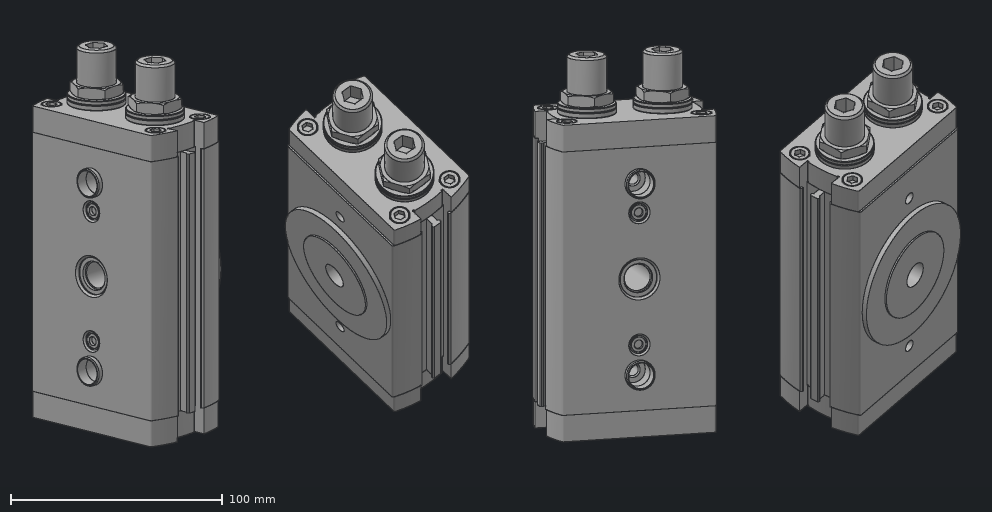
import cadquery as cq
import math

OVERALL_LENGTH = 181.6
HALF_WIDTH = 42.3
HALF_DEPTH = 24.2
FLANK_RADIUS = 70.0
CORNER_ROUND = 1.0
PROFILE_HALF_LENGTH = 63.7
CAP_THICKNESS = 12.9
CAP_SIDE_INSET = 0.2
CAP_FRONT_INSET = 0.09
CAP_REAR_INSET = 0.9
CAP_END = PROFILE_HALF_LENGTH + CAP_THICKNESS

GROOVE_FLOOR_X = 36.5
GROOVE_HALF_HEIGHT = 9.5
LIP_HALF_GAP = 8.2
LIP_THICKNESS = 1.6
LIP_BEVEL = 0.9
RAIL_FACE_X = 42.5
RAIL_HEAD_HALF = 2.5
RAIL_STEM_HALF = 1.6
RAIL_HEAD_THICKNESS = 1.3
RAIL_TAPER = 0.9
RAIL_BEVEL = 0.5
CAP_RELIEF_HALF = 8.5
CAP_RELIEF_DEPTH = 0.7

SCREW_X = 33.2
SCREW_Y = 15.6
SCREW_RECESS_RADIUS = 4.9
SCREW_HEAD_RADIUS = 4.4
SCREW_SOCKET_FLATS = 4.7
SCREW_SOCKET_DEPTH = 2.7
SCREW_GAP_DEPTH = 1.8

STOP_X = 18.7
STOP_TOP = OVERALL_LENGTH - CAP_END
WASHER_RADIUS = 14.0
WASHER_BEVEL = 0.4
SPACER_TOP = CAP_END + 2.7
WASHER_TOP = CAP_END + 4.9
NUT_TOP = CAP_END + 10.4
NUT_FLATS = 22.5
NUT_BEVEL = 1.5
ROD_RADIUS = 9.5
ROD_BEVEL = 1.0
ROD_SOCKET_FLATS = 9.0
ROD_SOCKET_DEPTH = 9.0

SLEEVE_Z = 46.3
SLEEVE_RADIUS = 7.0
SLEEVE_BORE_RADIUS = 6.2
SLEEVE_STAND_OUT = 2.9
SLEEVE_SEAT_DEPTH = 3.0
SLEEVE_BEVEL = 0.5
FIXING_BORE_DEPTH = 10.9
FIXING_HOLE_RADIUS = 2.9
FIXING_BEVEL = 0.7

PLUG_Z = 32.0
PLUG_RECESS_RADIUS = 4.4
PLUG_BEVEL = 0.9
PLUG_RECESS_DEPTH = 1.5
PLUG_RADIUS = 3.6
PLUG_HOLE_RADIUS = 2.2
PLUG_HOLE_DEPTH = 2.7

FLANGE_RADIUS = 36.7
FLANGE_FACE_Y = 26.7
BOSS_RADIUS = 22.3
BOSS_FACE_Y = 27.6
SHAFT_RADIUS = 9.0
SHAFT_MOUTH_BEVEL = 1.0
SHAFT_RECESS_DEPTH = 1.8
SHAFT_BORE_RADIUS = 6.4
SHAFT_COUNTERBORE_RADIUS = 7.0
SHAFT_COUNTERBORE_DEPTH = 1.8


def flank_x(crest_x, y):
    """X at height y of a curve shaped like the flanks whose crest is at crest_x."""
    return crest_x - FLANK_RADIUS + math.sqrt(FLANK_RADIUS**2 - y**2)


def bulged_prism(half_width, front_y, rear_y, z_start, length):
    """Prism with flat -Y and +Y faces, bulged flanks and rounded corners."""
    front_x = flank_x(half_width, front_y)
    rear_x = flank_x(half_width, rear_y)
    return (
        cq.Workplane("XY", origin=(0, 0, z_start))
        .moveTo(-front_x, front_y)
        .lineTo(front_x, front_y)
        .threePointArc((half_width, 0), (rear_x, rear_y))
        .lineTo(-rear_x, rear_y)
        .threePointArc((-half_width, 0), (-front_x, front_y))
        .close()
        .extrude(length)
        .edges("|Z")
        .fillet(CORNER_ROUND)
    )


def cylinder_y(radius, y_start, y_end, z=0):
    """Cylinder along +Y between two Y positions."""
    circle = cq.Workplane("XZ", origin=(0, y_start, z)).circle(radius)
    return circle.extrude(y_start - y_end)


def cone_y(radius_start, radius_end, y_start, y_end, z=0):
    """Truncated cone along +Y between two Y positions."""
    return cq.Workplane(
        cq.Solid.makeCone(
            radius_start, radius_end, y_end - y_start, cq.Vector(0, y_start, z), cq.Vector(0, 1, 0)
        )
    )


def hex_prism(flats, x, y, z_start, height):
    """Upright hexagon with two of its flats facing -X and +X."""
    across_corners = flats / math.cos(math.pi / 6)
    hexagon = cq.Workplane("XY").polygon(6, across_corners).extrude(height)
    return hexagon.rotate((0, 0, 0), (0, 0, 1), 30).translate((x, y, z_start))


def profile_groove(side):
    """One half (+Y) of a side groove: an undercut channel between the lip and the T rail."""
    lip_outer_x = flank_x(HALF_WIDTH, LIP_HALF_GAP)
    lip_inner_x = lip_outer_x - LIP_THICKNESS
    head_x = RAIL_FACE_X - RAIL_HEAD_THICKNESS
    points = [
        (RAIL_FACE_X, RAIL_HEAD_HALF - RAIL_BEVEL),
        (RAIL_FACE_X - RAIL_BEVEL, RAIL_HEAD_HALF),
        (head_x, RAIL_HEAD_HALF),
        (head_x - RAIL_TAPER, RAIL_STEM_HALF),
        (flank_x(GROOVE_FLOOR_X, RAIL_STEM_HALF), RAIL_STEM_HALF),
        (flank_x(GROOVE_FLOOR_X, GROOVE_HALF_HEIGHT), GROOVE_HALF_HEIGHT),
        (lip_inner_x, GROOVE_HALF_HEIGHT),
        (lip_inner_x, LIP_HALF_GAP),
        (lip_outer_x - LIP_BEVEL, LIP_HALF_GAP),
        (RAIL_FACE_X, LIP_HALF_GAP + RAIL_FACE_X - lip_outer_x + LIP_BEVEL),
    ]
    base = cq.Workplane("XY", origin=(0, 0, -PROFILE_HALF_LENGTH))
    channel = base.polyline([(side * x, y) for x, y in points]).close()
    return channel.extrude(2 * PROFILE_HALF_LENGTH)


def make_profile():
    length = 2 * PROFILE_HALF_LENGTH
    profile = bulged_prism(HALF_WIDTH, -HALF_DEPTH, HALF_DEPTH, -PROFILE_HALF_LENGTH, length)
    rail_blank = cq.Workplane("XY").box(2 * RAIL_FACE_X, 2 * RAIL_HEAD_HALF, length)
    profile = profile.union(rail_blank)
    for side in (-1, 1):
        channel = profile_groove(side)
        profile = profile.cut(channel).cut(channel.mirror("XZ"))
    return profile


def make_cap(z_start):
    """End cap with a plain groove in each flank."""
    cap = bulged_prism(
        HALF_WIDTH - CAP_SIDE_INSET,
        CAP_FRONT_INSET - HALF_DEPTH,
        HALF_DEPTH - CAP_REAR_INSET,
        z_start,
        CAP_THICKNESS,
    )
    floor_edge_x = flank_x(GROOVE_FLOOR_X, CAP_RELIEF_HALF)
    relief_x = floor_edge_x - CAP_RELIEF_DEPTH
    for side in (-1, 1):
        groove = (
            cq.Workplane("XY", origin=(0, 0, z_start))
            .moveTo(side * HALF_WIDTH, -GROOVE_HALF_HEIGHT)
            .lineTo(side * relief_x, -GROOVE_HALF_HEIGHT)
            .lineTo(side * relief_x, -CAP_RELIEF_HALF)
            .lineTo(side * floor_edge_x, -CAP_RELIEF_HALF)
            .threePointArc((side * GROOVE_FLOOR_X, 0), (side * floor_edge_x, CAP_RELIEF_HALF))
            .lineTo(side * relief_x, CAP_RELIEF_HALF)
            .lineTo(side * relief_x, GROOVE_HALF_HEIGHT)
            .lineTo(side * HALF_WIDTH, GROOVE_HALF_HEIGHT)
            .close()
            .extrude(CAP_THICKNESS)
        )
        cap = cap.cut(groove)
    return cap


def cap_screw_cut(x, y):
    """Ring gap around a sunk screw head, and the hexagon socket in the head."""
    gap = (
        cq.Workplane("XY", origin=(x, y, CAP_END - SCREW_GAP_DEPTH))
        .circle(SCREW_RECESS_RADIUS)
        .circle(SCREW_HEAD_RADIUS)
        .extrude(SCREW_GAP_DEPTH)
    )
    socket = hex_prism(SCREW_SOCKET_FLATS, x, y, CAP_END - SCREW_SOCKET_DEPTH, SCREW_SOCKET_DEPTH)
    return gap.union(socket)


def bevelled_disc(x, z_start, z_end):
    """Washer-shaped layer of a stop screw; stacked layers leave a small V groove."""
    disc = cq.Workplane("XY", origin=(x, 0, z_start)).circle(WASHER_RADIUS).extrude(z_end - z_start)
    return disc.edges().chamfer(WASHER_BEVEL)


def make_stop_screw(x):
    """Spacer disc, washer, bevelled hexagon nut and socketed rod."""
    discs = bevelled_disc(x, CAP_END, SPACER_TOP).union(bevelled_disc(x, SPACER_TOP, WASHER_TOP))
    nut_height = NUT_TOP - WASHER_TOP
    nut_round = (
        cq.Workplane("XY", origin=(x, 0, WASHER_TOP))
        .circle(NUT_FLATS / 2 / math.cos(math.pi / 6))
        .extrude(nut_height)
        .faces(">Z or <Z")
        .chamfer(NUT_BEVEL / 2, NUT_BEVEL)
    )
    nut = hex_prism(NUT_FLATS, x, 0, WASHER_TOP, nut_height).intersect(nut_round)
    rod = (
        cq.Workplane("XY", origin=(x, 0, WASHER_TOP))
        .circle(ROD_RADIUS)
        .extrude(STOP_TOP - WASHER_TOP)
        .faces(">Z")
        .chamfer(ROD_BEVEL)
    )
    socket = hex_prism(ROD_SOCKET_FLATS, x, 0, STOP_TOP - ROD_SOCKET_DEPTH, ROD_SOCKET_DEPTH)
    return discs.union(nut).union(rod).cut(socket)


def fixing_hole_cut(z):
    """Sleeve seat, deeper bore and bevelled through hole."""
    seat = cylinder_y(SLEEVE_RADIUS, -HALF_DEPTH, -HALF_DEPTH + SLEEVE_SEAT_DEPTH, z)
    floor_y = -HALF_DEPTH + FIXING_BORE_DEPTH
    bore = cylinder_y(SLEEVE_BORE_RADIUS, -HALF_DEPTH, floor_y, z)
    bevel = cone_y(
        FIXING_HOLE_RADIUS + FIXING_BEVEL, FIXING_HOLE_RADIUS, floor_y, floor_y + FIXING_BEVEL, z
    )
    through = cylinder_y(FIXING_HOLE_RADIUS, -HALF_DEPTH, HALF_DEPTH, z)
    return seat.union(bore).union(bevel).union(through)


def plug_cut(z):
    """Bevelled ring recess around a small plug, and the blind hole in the plug."""
    front = -HALF_DEPTH
    recess = cylinder_y(PLUG_RECESS_RADIUS, front, front + PLUG_RECESS_DEPTH, z)
    bevel = cone_y(PLUG_RECESS_RADIUS + PLUG_BEVEL, PLUG_RECESS_RADIUS, front, front + PLUG_BEVEL, z)
    plug = cylinder_y(PLUG_RADIUS, front + PLUG_BEVEL, front + PLUG_RECESS_DEPTH, z)
    hole = cylinder_y(PLUG_HOLE_RADIUS, front, front + PLUG_HOLE_DEPTH, z)
    return recess.union(bevel).cut(plug).union(hole)


def shaft_opening_cut():
    """Bore for the hollow shaft, bevelled at its mouth."""
    bore = cylinder_y(SHAFT_RADIUS, -HALF_DEPTH, HALF_DEPTH)
    mouth = cone_y(
        SHAFT_RADIUS + SHAFT_MOUTH_BEVEL, SHAFT_RADIUS, -HALF_DEPTH, -HALF_DEPTH + SHAFT_MOUTH_BEVEL
    )
    return bore.union(mouth)


def make_housing():
    housing = make_profile()
    for z_start in (-CAP_END, PROFILE_HALF_LENGTH):
        housing = housing.union(make_cap(z_start))
    for side in (-1, 1):
        housing = housing.union(make_stop_screw(side * STOP_X))
        for y in (-SCREW_Y, SCREW_Y):
            housing = housing.cut(cap_screw_cut(side * SCREW_X, y))
        housing = housing.cut(fixing_hole_cut(side * SLEEVE_Z))
        housing = housing.cut(plug_cut(side * PLUG_Z))
    return housing.cut(shaft_opening_cut())


def make_sleeve(z):
    front = -HALF_DEPTH - SLEEVE_STAND_OUT
    sleeve = cylinder_y(SLEEVE_RADIUS, front, -HALF_DEPTH + SLEEVE_SEAT_DEPTH, z)
    sleeve = sleeve.faces("<Y").chamfer(SLEEVE_BEVEL)
    return sleeve.cut(cylinder_y(SLEEVE_BORE_RADIUS, front, -HALF_DEPTH + SLEEVE_SEAT_DEPTH, z))


def make_flange():
    """Stepped output disc with a hollow shaft that fills the housing bore behind its mouth."""
    shaft_end = -HALF_DEPTH + SHAFT_RECESS_DEPTH
    flange = cylinder_y(FLANGE_RADIUS, HALF_DEPTH, FLANGE_FACE_Y)
    flange = flange.union(cylinder_y(BOSS_RADIUS, HALF_DEPTH, BOSS_FACE_Y))
    flange = flange.union(cylinder_y(SHAFT_RADIUS, shaft_end, HALF_DEPTH))
    bore = cylinder_y(SHAFT_BORE_RADIUS, shaft_end, BOSS_FACE_Y)
    counterbore = cylinder_y(
        SHAFT_COUNTERBORE_RADIUS, shaft_end, shaft_end + SHAFT_COUNTERBORE_DEPTH
    )
    return flange.cut(bore).cut(counterbore)


housing = make_housing()
flange = make_flange()
sleeves = [make_sleeve(side * SLEEVE_Z) for side in (-1, 1)]

result = cq.Compound.makeCompound([housing.val(), flange.val(), *[s.val() for s in sleeves]])